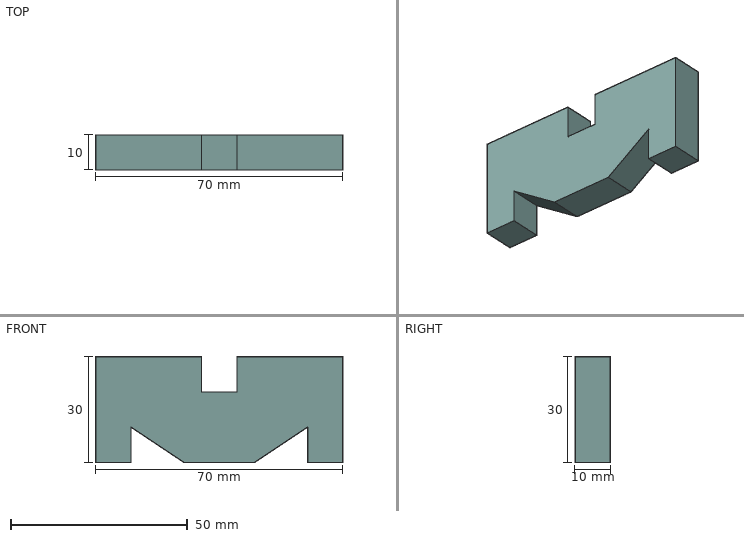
import cadquery as cq

length = 70.0
thickness = 10.0
height = 30.0

slot_width = 10.0
slot_depth = 10.0

leg_width = 10.0
notch_height = 10.0
foot_width = 20.0


def make_block():
    """Plain block centred in X and Y, standing on Z = 0."""
    return cq.Workplane("XY").box(length, thickness, height, centered=(True, True, False))


def make_top_slot():
    """Cutter for the slot, open at the top and through the thickness."""
    slot = cq.Workplane("XY").box(slot_width, thickness, slot_depth, centered=(True, True, False))
    return slot.translate((0, 0, height - slot_depth))


def make_notch(side):
    """Cutter for one notch: vertical at the leg, sloping down to the foot (side is -1 or +1)."""
    leg_x = side * (length / 2 - leg_width)
    foot_x = side * foot_width / 2
    return (
        cq.Workplane("XZ")
        .polyline([(leg_x, 0), (leg_x, notch_height), (foot_x, 0)])
        .close()
        .extrude(thickness / 2, both=True)
    )


result = make_block().cut(make_top_slot())
for side in (-1, 1):
    result = result.cut(make_notch(side))